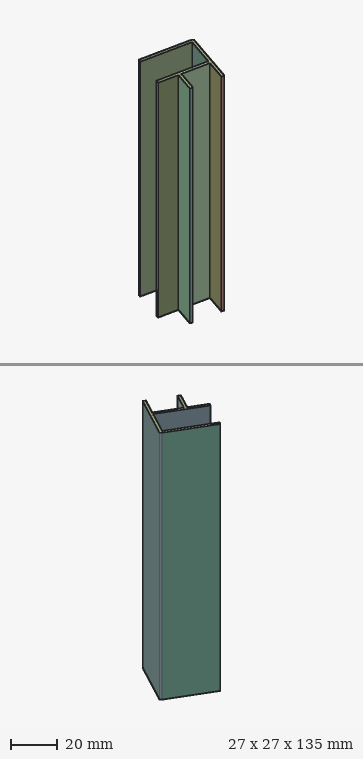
import cadquery as cq

length = 135.0
side = 27.0
wall = 1.5
channel_width = 14.0
corner_radius = 1.0

half = side / 2
inner_wall_left = -half + wall + channel_width
inner_wall_right = inner_wall_left + wall
flange_top = half - wall - channel_width


def bar(x_min, x_max, y_min, y_max):
    """Full-length rectangular wall between the given X and Y limits."""
    return (
        cq.Workplane("XY")
        .box(x_max - x_min, y_max - y_min, length, centered=False)
        .translate((x_min, y_min, -length / 2))
    )


back_wall = bar(-half, half, half - wall, half)
outer_wall = bar(-half, -half + wall, -half, half)
inner_wall = bar(inner_wall_left, inner_wall_right, -half, half)
flange = bar(inner_wall_left, half, flange_top - wall, flange_top)

profile = back_wall.union(outer_wall).union(inner_wall).union(flange).clean()

outside_corner = cq.selectors.NearestToPointSelector((-half, half, 0))
result = profile.edges(outside_corner).fillet(corner_radius)